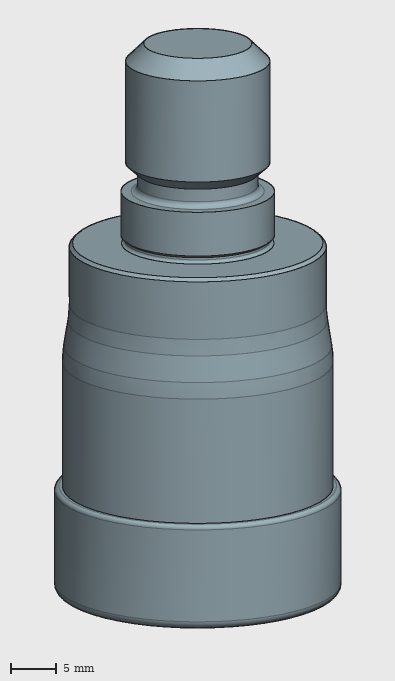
import cadquery as cq
import math

band_radius = 15.9
band_top = 12.05
band_top_round = 0.5
band_foot_round = 0.95
barrel_radius = 15.0
shoulder_radius = 14.25
taper_bottom = 27.3
taper_top = 32.05
taper_blend_radius = 12.0
housing_top = 40.0
housing_top_chamfer = 0.4

stud_top = 63.0
shank_radius = 8.0
shank_bottom = 49.3
tip_chamfer = 2.0
neck_radius = 6.7
neck_top = 48.15
neck_root_round = 0.7
collar_radius = 8.5
collar_top = 46.0
collar_bottom = 40.95
foot_radius = 8.05
foot_top = 40.65
foot_flare_radius = 0.4


def edges_at_height(body, height):
    """Pick the circular edges that lie at one height."""
    tolerance = 0.005
    return body.edges(
        cq.selectors.BoxSelector(
            (-band_radius, -band_radius, height - tolerance),
            (band_radius, band_radius, height + tolerance),
        )
    ).edges("%CIRCLE")


def turn(profile):
    """Revolve a closed (radius, height) outline about the Z axis."""
    return profile.revolve(360, (0, 0, 0), (0, 1, 0))


def make_housing():
    outline = cq.Workplane("XZ").polyline([
        (0, 0),
        (band_radius, 0),
        (band_radius, band_top),
        (barrel_radius, band_top),
        (barrel_radius, taper_bottom),
        (shoulder_radius, taper_top),
        (shoulder_radius, housing_top),
        (0, housing_top),
    ]).close()
    body = turn(outline)
    for height in (taper_bottom, taper_top):
        body = edges_at_height(body, height).fillet(taper_blend_radius)
    body = edges_at_height(body, 0).fillet(band_foot_round)
    band_edge = edges_at_height(body, band_top).edges(cq.selectors.RadiusNthSelector(-1))
    body = band_edge.fillet(band_top_round)
    return edges_at_height(body, housing_top).chamfer(housing_top_chamfer)


def make_stud():
    flare_outer = foot_radius + foot_flare_radius
    flare_top = housing_top + foot_flare_radius
    arc_middle = foot_flare_radius * math.sqrt(0.5)
    outline = (
        cq.Workplane("XZ")
        .moveTo(0, housing_top)
        .lineTo(flare_outer, housing_top)
        .threePointArc((flare_outer - arc_middle, flare_top - arc_middle), (foot_radius, flare_top))
        .lineTo(foot_radius, foot_top)
        .lineTo(collar_radius, collar_bottom)
        .lineTo(collar_radius, collar_top)
        .lineTo(neck_radius, collar_top)
        .lineTo(neck_radius, neck_top)
        .lineTo(shank_radius, shank_bottom)
        .lineTo(shank_radius, stud_top)
        .lineTo(0, stud_top)
        .close()
    )
    body = turn(outline)
    neck_root = edges_at_height(body, collar_top).edges(cq.selectors.RadiusNthSelector(0))
    body = neck_root.fillet(neck_root_round)
    return edges_at_height(body, stud_top).chamfer(tip_chamfer)


housing = make_housing()
stud = make_stud()
result = cq.Compound.makeCompound([housing.val(), stud.val()])